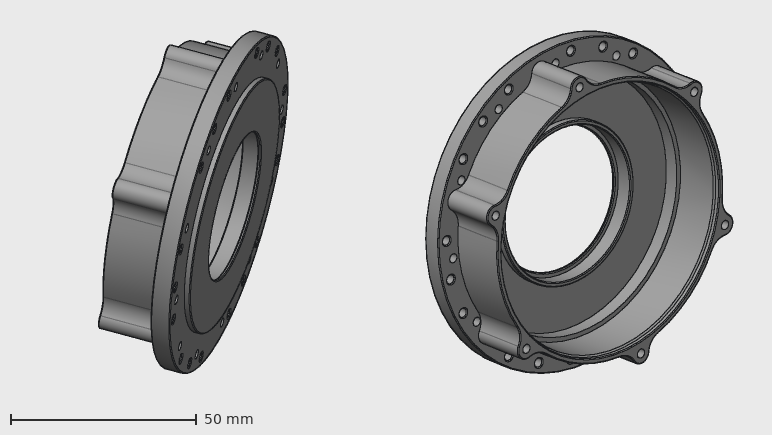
import cadquery as cq
import math

mouth_x = 0.0
flange_front_x = 16.3
flange_back_x = 21.7
pilot_back_x = 23.4

flange_radius = 47.0
pilot_radius = 35.5
wall_radius = 40.0
edge_chamfer = 0.3

lead_in_radius = 38.5
lead_in_depth = 1.4
cavity_radius = 38.1
shoulder_x = 15.4
floor_radius = 36.8
floor_x = 19.7

lip_radius = 23.3
lip_front_x = 17.5
seat_radius = 22.0
seat_ledge_x = 22.4
bore_radius = 20.7

lug_count = 6
lug_start_angle = 15.0
lug_spacing = 360.0 / lug_count
lug_circle_radius = 42.0
lug_radius = 3.0
lug_fillet = 5.5
lug_hole_diameter = 2.5
lug_hole_depth = 11.3
drill_point_angle = 118.0

flange_hole_diameter = 2.5
outer_circle_radius = 44.0
outer_hole_count = 12
extra_hole_count = 6
extra_hole_start_angle = 45.0
inner_hole_count = 12
inner_hole_start_angle = 22.5


def polar(radius, angle):
    """Point in the YZ plane, the angle in degrees from +Y toward +Z."""
    turn = math.radians(angle)
    return (radius * math.cos(turn), radius * math.sin(turn))


def circle_points(radius, count, start_angle=0.0):
    return [polar(radius, start_angle + i * 360.0 / count) for i in range(count)]


def point_toward(start, target, distance):
    """Point at the given distance from start on the way to target."""
    fraction = distance / math.dist(start, target)
    return tuple(s + (t - s) * fraction for s, t in zip(start, target))


def revolve_profile(points):
    """Turn an outline of (x, radius) points about the X axis."""
    return cq.Workplane("XY").polyline(points).close().revolve(360, (0, 0, 0), (1, 0, 0))


def housing_outline():
    """Round wall with lugs, each blended into the wall by a concave arc on both sides."""
    fillet_circle_radius = wall_radius + lug_fillet
    fillet_reach = lug_radius + lug_fillet
    cosine = (fillet_circle_radius**2 + lug_circle_radius**2 - fillet_reach**2) / (
        2 * fillet_circle_radius * lug_circle_radius
    )
    fillet_angle = math.degrees(math.acos(cosine))

    outline = cq.Workplane("YZ").moveTo(*polar(wall_radius, lug_start_angle - fillet_angle))
    for i in range(lug_count):
        angle = lug_start_angle + i * lug_spacing
        next_start = angle + lug_spacing - fillet_angle
        center = polar(lug_circle_radius, angle)
        tip = polar(lug_circle_radius + lug_radius, angle)
        before = polar(fillet_circle_radius, angle - fillet_angle)
        after = polar(fillet_circle_radius, angle + fillet_angle)
        before_middle = point_toward(before, polar(wall_radius, angle - fillet_angle / 2), lug_fillet)
        after_middle = point_toward(after, polar(wall_radius, angle + fillet_angle / 2), lug_fillet)
        outline = (
            outline.threePointArc(before_middle, point_toward(center, before, lug_radius))
            .threePointArc(tip, point_toward(center, after, lug_radius))
            .threePointArc(after_middle, polar(wall_radius, angle + fillet_angle))
            .threePointArc(polar(wall_radius, angle + lug_spacing / 2), polar(wall_radius, next_start))
        )
    return outline.close()


def housing():
    return housing_outline().extrude(flange_back_x - edge_chamfer).faces("<X").chamfer(edge_chamfer)


def flange():
    return revolve_profile([
        (flange_front_x, 0),
        (flange_front_x, flange_radius - edge_chamfer),
        (flange_front_x + edge_chamfer, flange_radius),
        (flange_back_x - edge_chamfer, flange_radius),
        (flange_back_x, flange_radius - edge_chamfer),
        (flange_back_x, pilot_radius),
        (pilot_back_x - edge_chamfer, pilot_radius),
        (pilot_back_x, pilot_radius - edge_chamfer),
        (pilot_back_x, 0),
    ])


def cavity():
    """Stepped hollow from the mouth to the floor, leaving the lip, and on through the bore."""
    lead_in_end_x = lead_in_depth + lead_in_radius - cavity_radius
    return revolve_profile([
        (mouth_x, 0),
        (mouth_x, lead_in_radius + edge_chamfer),
        (mouth_x + edge_chamfer, lead_in_radius),
        (lead_in_depth, lead_in_radius),
        (lead_in_end_x, cavity_radius),
        (shoulder_x, cavity_radius),
        (shoulder_x, floor_radius),
        (floor_x, floor_radius),
        (floor_x, lip_radius),
        (lip_front_x + edge_chamfer, lip_radius),
        (lip_front_x, lip_radius - edge_chamfer),
        (lip_front_x, seat_radius + edge_chamfer),
        (lip_front_x + edge_chamfer, seat_radius),
        (seat_ledge_x, seat_radius),
        (seat_ledge_x, bore_radius + edge_chamfer),
        (seat_ledge_x + edge_chamfer, bore_radius),
        (pilot_back_x - edge_chamfer, bore_radius),
        (pilot_back_x, bore_radius + edge_chamfer),
        (pilot_back_x, 0),
    ])


def drill(profile, centers):
    """Copies of a turned hole shape moved to each (y, z) center."""
    cutter = revolve_profile(profile)
    holes = cq.Workplane("YZ")
    for y, z in centers:
        holes = holes.add(cutter.translate((0, y, z)))
    return holes.combine()


def lug_holes():
    radius = lug_hole_diameter / 2
    point_length = radius / math.tan(math.radians(drill_point_angle / 2))
    profile = [
        (mouth_x, 0),
        (mouth_x, radius),
        (mouth_x + lug_hole_depth, radius),
        (mouth_x + lug_hole_depth + point_length, 0),
    ]
    return drill(profile, circle_points(lug_circle_radius, lug_count, lug_start_angle))


def chamfered_flange_holes():
    """Even ring of holes, with one more between neighbours in every second gap."""
    radius = flange_hole_diameter / 2
    profile = [
        (flange_front_x, 0),
        (flange_front_x, radius + edge_chamfer),
        (flange_front_x + edge_chamfer, radius),
        (flange_back_x - edge_chamfer, radius),
        (flange_back_x, radius + edge_chamfer),
        (flange_back_x, 0),
    ]
    even_ring = circle_points(outer_circle_radius, outer_hole_count)
    extras = circle_points(outer_circle_radius, extra_hole_count, extra_hole_start_angle)
    return drill(profile, even_ring + extras)


def plain_flange_holes():
    radius = flange_hole_diameter / 2
    profile = [
        (flange_front_x, 0),
        (flange_front_x, radius),
        (flange_back_x, radius),
        (flange_back_x, 0),
    ]
    return drill(profile, circle_points(lug_circle_radius, inner_hole_count, inner_hole_start_angle))


result = (
    housing()
    .union(flange())
    .cut(cavity())
    .cut(lug_holes())
    .cut(chamfered_flange_holes())
    .cut(plain_flange_holes())
)